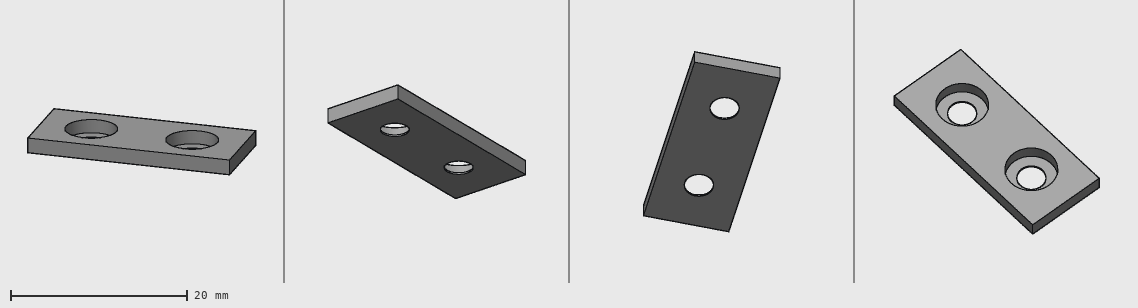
import cadquery as cq

length = 24.0
width = 10.0
thickness = 1.8

hole_spacing = length / 2
hole_diameter = 3.3
counterbore_diameter = 6.0
floor_thickness = 0.2
counterbore_depth = thickness - floor_thickness


def make_plate():
    """Flat rectangular plate, centred in X and Y with its underside at Z = 0."""
    return cq.Workplane("XY").box(length, width, thickness, centered=(True, True, False))


def cut_screw_holes(plate):
    """Cut the two through holes, each counterbored from the top face."""
    hole_centres = [(-hole_spacing / 2, 0), (hole_spacing / 2, 0)]
    return (
        plate.faces(">Z")
        .workplane()
        .pushPoints(hole_centres)
        .cboreHole(hole_diameter, counterbore_diameter, counterbore_depth)
    )


result = cut_screw_holes(make_plate())